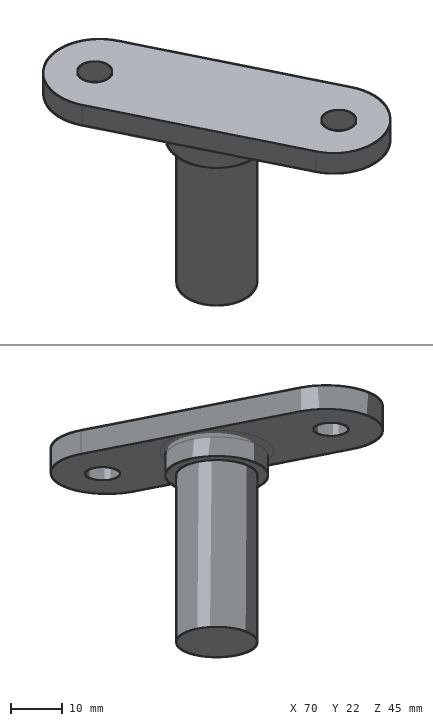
import cadquery as cq
import math

plate_length = 70.0
plate_width = 22.0
plate_thickness = 5.0

hole_spacing = 50.0
hole_diameter = 6.8

collar_diameter = 20.0
collar_height = 5.0
shaft_diameter = 15.8
shaft_length = 35.0
blend_radius = (plate_width - collar_diameter) / 2


def make_plate():
    """Round-ended plate resting on Z = 0, with its two through holes."""
    plate = cq.Workplane("XY").slot2D(plate_length, plate_width).extrude(plate_thickness)
    return (
        plate.faces(">Z")
        .workplane()
        .rarray(hole_spacing, 1, 2, 1)
        .hole(hole_diameter)
    )


def make_stem():
    """Collar with concave blend and shaft, revolved about the Z axis."""
    collar_radius = collar_diameter / 2
    shaft_radius = shaft_diameter / 2
    stem_bottom = -(collar_height + shaft_length)
    blend_mid_offset = blend_radius * (1 - math.sin(math.radians(45)))
    profile = (
        cq.Workplane("XZ")
        .lineTo(collar_radius + blend_radius, 0)
        .threePointArc(
            (collar_radius + blend_mid_offset, -blend_mid_offset),
            (collar_radius, -blend_radius),
        )
        .lineTo(collar_radius, -collar_height)
        .lineTo(shaft_radius, -collar_height)
        .lineTo(shaft_radius, stem_bottom)
        .lineTo(0, stem_bottom)
        .close()
    )
    return profile.revolve(360, (0, 0, 0), (0, 1, 0))


result = make_plate().union(make_stem())